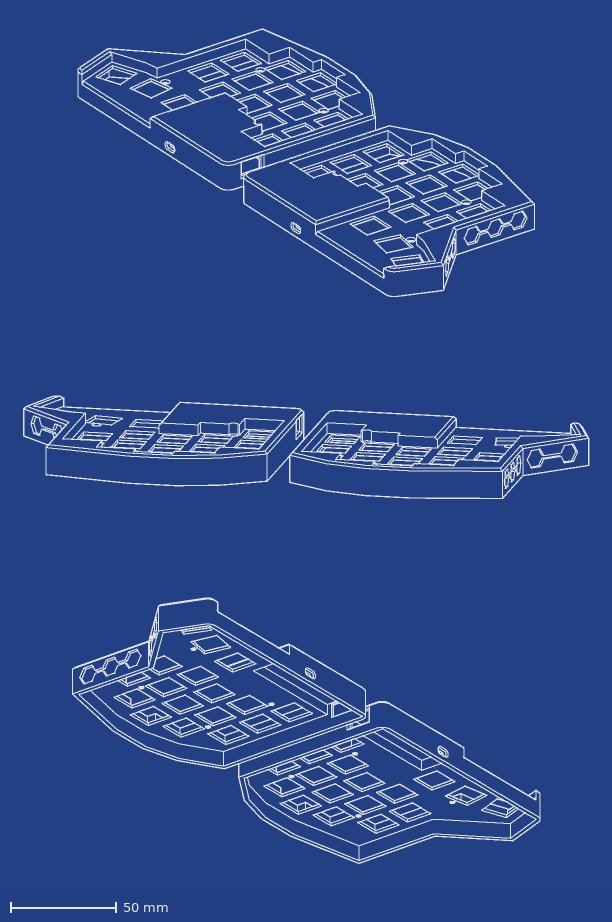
import cadquery as cq
import math


HALF_LENGTH = 137.5
INNER_GAP = 5.5
DEPTH = 105.3
HEIGHT = 14.5
WALL = 2.5
CORNER_RADIUS = 5.0
EDGE_CHAMFER = 1.25

SIDE_X = -111.0
SIDE_FRONT_Y = 51.0
SIDE_BACK_Y = 97.0
THUMB_TIP_Y = 24.7
THUMB_ANGLE = 20.0
BACK_LEFT_X = -69.0
BACK_RIGHT_X = -46.2
SHOULDER = (-26.0, 100.0)
INNER_BACK_Y = 87.5

DECK_Z = 9.3
PLATE = 1.5
FIELD_X = -105.8
FIELD_WIDTH = 95.4
KEY_SIZE = 14.0
OUTER_COLUMN_Y = 54.7
COLUMN_STAGGER = [0.0, 12.0, 17.0, 12.0, 0.0]
COLUMN_ROWS = [(0, 1), (-1, 0, 1), (-1, 0, 1), (-1, 0, 1), (-1, 0, 1)]
THUMB_KEYS = [(-119.5, 17.5, THUMB_ANGLE), (-99.0, 23.0, THUMB_ANGLE / 2), (-77.2, 25.3, 0.0)]

WING_RIM = 5.2
WING_RECESS_Y = 23.5
WING_BEND = (-113.2, 30.5)
WING_RECESS_INNER_Y = 31.5

SCREW_DIAMETER = 2.4
SCREW_HEAD_DIAMETER = 4.5
SCREW_SINK = 1.0
SCREW_POINTS = [(-100.3, 32.5), (-84.0, 76.5), (-32.5, 76.5), (-32.5, 38.2)]

BOX_ROOF = 1.5

WINDOW_Y = 15.5
WINDOW_Z = 9.0
WINDOW_WIDTH = 11.5
WINDOW_HEIGHT = 7.1
WINDOW_BEVEL = 1.0
PORT_X = -51.5
PORT_Z = 4.7
PORT_WIDTH = 6.3
PORT_HEIGHT = 2.7
PORT_BEVEL = 0.7

HEX_FLATS = 8.5
HEX_DEPTH = 1.6
HEX_Z = 7.5
HEX_BAR = 1.6
SIDE_HEX_Y = 74.2
SIDE_HEX_PITCH = 13.5
SLANT_HEX_PITCH = 18.7
SLANT_HEX_Y = 39.3

OPENING_DEPTH = 1.5 * WALL
INNER_X = -INNER_GAP
WING_SLOPE = math.tan(math.radians(THUMB_ANGLE))
WING_FRONT_X = -HALF_LENGTH + THUMB_TIP_Y * WING_SLOPE
PITCH = FIELD_WIDTH / len(COLUMN_STAGGER)
HALF_PITCH = PITCH / 2
COLUMN_X = [FIELD_X + HALF_PITCH + PITCH * i for i in range(len(COLUMN_STAGGER))]
COLUMN_Y = [OUTER_COLUMN_Y + stagger for stagger in COLUMN_STAGGER]
COLUMN_EDGE_X = [FIELD_X + PITCH * i for i in range(len(COLUMN_X) + 1)]
BOX_COLUMN = 2
BOX_X = COLUMN_EDGE_X[BOX_COLUMN]
RIM_BACK = (-HALF_LENGTH + (THUMB_TIP_Y - WING_RECESS_Y) * WING_SLOPE + WING_RIM, WING_RECESS_Y)
RIM_FRONT = (WING_FRONT_X + WING_RIM, 0.0)

OUTLINE = [
    (INNER_X, 0),
    (INNER_X, INNER_BACK_Y),
    SHOULDER,
    (BACK_RIGHT_X, DEPTH),
    (BACK_LEFT_X, DEPTH),
    (SIDE_X, SIDE_BACK_Y),
    (SIDE_X, SIDE_FRONT_Y),
    (-HALF_LENGTH, THUMB_TIP_Y),
    (WING_FRONT_X, 0),
]


def near_edges_of_columns(columns):
    """Stepped front edge of the given key columns, from left to right."""
    points = []
    for i in columns:
        front_y = COLUMN_Y[i] - PITCH - HALF_PITCH
        points += [(COLUMN_EDGE_X[i], front_y), (COLUMN_EDGE_X[i + 1], front_y)]
    return points


def far_edges_of_columns():
    """Stepped back edge of all key columns, from right to left."""
    points = []
    for i in reversed(range(len(COLUMN_X))):
        back_y = COLUMN_Y[i] + PITCH + HALF_PITCH
        points += [(COLUMN_EDGE_X[i + 1], back_y), (COLUMN_EDGE_X[i], back_y)]
    return points


def prism(points, bottom, top):
    return cq.Workplane("XY").workplane(offset=bottom).polyline(points).close().extrude(top - bottom)


def sunken_deck():
    """Space above the key plate; it leaves through the front beside the controller box."""
    points = (
        [(BOX_X, 0)]
        + near_edges_of_columns(range(BOX_COLUMN, len(COLUMN_X)))
        + far_edges_of_columns()
        + [(COLUMN_EDGE_X[0], WING_RECESS_INNER_Y), WING_BEND, RIM_BACK, RIM_FRONT]
    )
    return prism(points, DECK_Z, HEIGHT)


def broken_edge(start, end, height):
    """Square bar along an edge, turned on its corner so that it cuts an even chamfer."""
    direction = (end[0] - start[0], end[1] - start[1], 0)
    across = (-direction[1], direction[0], 0)
    diagonal = 2 * EDGE_CHAMFER
    plane = cq.Plane((*start, height), xDir=across, normal=direction)
    return cq.Workplane(plane).polygon(4, diagonal).extrude(math.hypot(*direction))


def outer_block():
    """Solid outline with the deck sunk into it and its upper edges broken."""
    block = prism(OUTLINE, 0, HEIGHT)
    margin = WALL / 2
    for corner_x in (INNER_X, WING_FRONT_X):
        low = (corner_x - margin, -margin, 0)
        high = (corner_x + margin, margin, HEIGHT)
        corner = cq.selectors.BoxSelector(low, high)
        block = block.edges("|Z").edges(corner).fillet(CORNER_RADIUS)
    block = block.faces(">Z").edges().chamfer(EDGE_CHAMFER)
    box_front = (BOX_X, 0)
    box_back = (BOX_X, COLUMN_Y[BOX_COLUMN] - PITCH - HALF_PITCH)
    return (
        block.cut(sunken_deck())
        .cut(broken_edge(box_front, box_back, HEIGHT))
        .cut(broken_edge(RIM_FRONT, RIM_BACK, HEIGHT))
        .cut(broken_edge(RIM_FRONT, box_front, DECK_Z))
    )


def cavity():
    """Space under the key plate and inside the controller box, open at the bottom."""
    under_plate = (
        cq.Workplane("XY").polyline(OUTLINE).close().offset2D(-WALL).extrude(DECK_Z - PLATE)
    )
    last_column = len(COLUMN_X) - 1
    box_back_y = COLUMN_Y[last_column] - PITCH - HALF_PITCH - WALL
    left = BOX_X + WALL
    right = INNER_X - WALL
    corners = [(left, WALL), (right, WALL), (right, box_back_y), (left, box_back_y)]
    in_box = prism(corners, 0, HEIGHT - BOX_ROOF)
    return under_plate.union(in_box)


def key_holes():
    spots = list(THUMB_KEYS)
    for x, y, rows in zip(COLUMN_X, COLUMN_Y, COLUMN_ROWS):
        spots += [(x, y + PITCH * row, 0.0) for row in rows]
    holes = cq.Workplane("XY")
    for x, y, angle in spots:
        hole = cq.Workplane("XY").rect(KEY_SIZE, KEY_SIZE).extrude(DECK_Z)
        holes = holes.add(hole.rotate((0, 0, 0), (0, 0, 1), angle).translate((x, y, 0)))
    return holes.combine()


def screw_holes():
    """Countersunk screw holes, with room for the heads above the plate."""
    head_radius = SCREW_HEAD_DIAMETER / 2
    hole_radius = SCREW_DIAMETER / 2
    profile = [
        (0, 0),
        (hole_radius, 0),
        (hole_radius, DECK_Z - SCREW_SINK),
        (head_radius, DECK_Z),
        (head_radius, HEIGHT),
        (0, HEIGHT),
    ]
    hole = cq.Workplane("XZ").polyline(profile).close().revolve(360, (0, 0), (0, 1))
    holes = cq.Workplane("XY")
    for x, y in SCREW_POINTS:
        holes = holes.add(hole.translate((x, y, 0)))
    return holes.combine()


def side_window():
    """Bevelled rectangular opening in the inner side of the controller box."""
    plane = cq.Plane((INNER_X, WINDOW_Y, WINDOW_Z), xDir=(0, -1, 0), normal=(-1, 0, 0))
    grow = 2 * WINDOW_BEVEL
    opening = cq.Workplane(plane).rect(WINDOW_WIDTH, WINDOW_HEIGHT).extrude(OPENING_DEPTH)
    bevel = (
        cq.Workplane(plane)
        .rect(WINDOW_WIDTH + grow, WINDOW_HEIGHT + grow)
        .workplane(offset=WINDOW_BEVEL)
        .rect(WINDOW_WIDTH, WINDOW_HEIGHT)
        .loft(ruled=True)
    )
    return opening.union(bevel)


def front_port():
    """Bevelled round-ended connector opening in the front of the controller box."""
    plane = cq.Plane((PORT_X, 0, PORT_Z), xDir=(1, 0, 0), normal=(0, 1, 0))
    grow = 2 * PORT_BEVEL
    opening = cq.Workplane(plane).slot2D(PORT_WIDTH, PORT_HEIGHT).extrude(OPENING_DEPTH)
    bevel = (
        cq.Workplane(plane)
        .slot2D(PORT_WIDTH + grow, PORT_HEIGHT + grow)
        .workplane(offset=PORT_BEVEL)
        .slot2D(PORT_WIDTH, PORT_HEIGHT)
        .loft(ruled=True)
    )
    return opening.union(bevel)


def hexagon_row(center, along, inward, count, pitch):
    """A row of hexagon pockets joined by a narrow groove."""
    plane = cq.Plane((*center, HEX_Z), xDir=along, normal=inward)
    corner_diameter = HEX_FLATS / math.cos(math.radians(30))
    hexagons = cq.Workplane(plane).rarray(pitch, 2.7, count, 1).polygon(6, corner_diameter).extrude(HEX_DEPTH)
    groove = cq.Workplane(plane).rect(pitch * (count - 1), HEX_BAR).extrude(HEX_DEPTH)
    return hexagons.union(groove)


def side_engravings():
    straight = hexagon_row((SIDE_X, SIDE_HEX_Y), (0, 1, 0), (1, 0, 0), 3, SIDE_HEX_PITCH)
    run_x = SIDE_X + HALF_LENGTH
    run_y = SIDE_FRONT_Y - THUMB_TIP_Y
    middle = (SIDE_X - (SIDE_FRONT_Y - SLANT_HEX_Y) * run_x / run_y, SLANT_HEX_Y)
    slanted = hexagon_row(middle, (run_x, run_y, 0), (run_y, -run_x, 0), 2, SLANT_HEX_PITCH)
    return straight.union(slanted)


def half_case():
    case = outer_block().cut(cavity())
    for cutter in (key_holes(), screw_holes(), side_window(), front_port(), side_engravings()):
        case = case.cut(cutter)
    return case


left_case = half_case()
right_case = left_case.mirror("YZ")

result = cq.Compound.makeCompound([left_case.val(), right_case.val()])